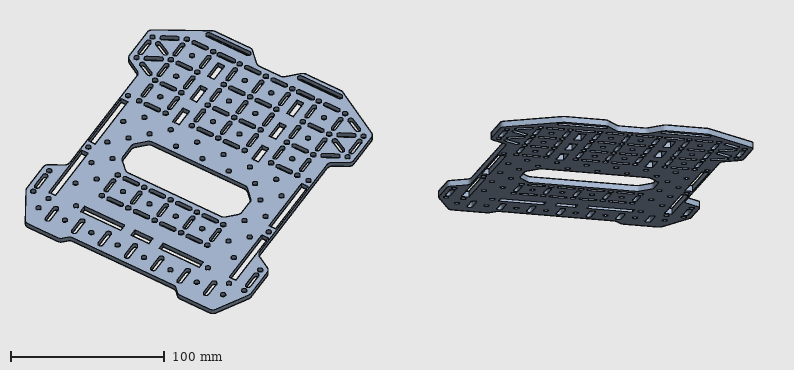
import cadquery as cq
import math

plate_width = 170.0
plate_length = 200.0
plate_thickness = 4.0
half_width = plate_width / 2
half_length = plate_length / 2

pitch = 20.0
columns = [pitch * i for i in range(4)]
between_columns = [x + pitch / 2 for x in columns[:3]]
near_column, middle_column, far_column = between_columns
grid_top_y = 85.0
upper_rows = [grid_top_y - pitch * i for i in range(4)]
lower_rows = [-35.0, -55.0]

border_top_y = 15.0
border_second_y = border_top_y - pitch / 2
border_inner_rows = [border_second_y - pitch / 2 - pitch * i for i in range(3)]
border_outer_rows = [border_second_y - pitch * i for i in range(1, 4)]

hole_diameter = 3.5
node_diameter = 3.5
grid_slot_width = 3.0
grid_slot_length = 12.0
slot_width = 3.5
long_slot_length = 13.5

waist_half_width = 72.0
ear_slope = math.radians(30)
ear_inner_y = 44.5
ear_outer_y = ear_inner_y + (half_width - waist_half_width) * math.tan(ear_slope)
shoulder_y = 79.0
shoulder_top_x = half_width - (half_length - shoulder_y) / math.tan(ear_slope)
top_notch_half_width = 9.5
top_notch_depth = 10.0
foot_slope = math.radians(60)
foot_corner_y = -76.0
foot_bottom_x = half_width - (half_length + foot_corner_y) / math.tan(foot_slope)
bottom_notch_half_width = 39.8
bottom_notch_depth = 5.0
outline_radius = 4.0

window_width = 90.0
window_height = 30.0
window_y = -15.0
window_chamfer = 8.2
window_radius = 4.0

cutout_width = 5.0
cutout_length = 13.0
cutout_rows = [72.0, 50.0, 28.0]
rail_x = 68.5
rail_length = 41.0
rail_rows = [0.0, -50.0]
rail_hole_rows = [25.0, -25.0, -75.0]
bar_y = -71.0
center_bar_length = 13.5
bar_inner_x = 14.5
bar_outer_x = window_width / 2

ear_x = 80.0
ear_slot_rows = [65.0, -65.0]
ear_hole_offset = pitch / 2
slant_x = 70.0
slant_rows = [80.0, 70.0, 60.0, 50.0]
slant_length = 12.5
slant_angle = 28.0
handle_x = 34.8
handle_y = 95.5
handle_length = 33.5
handle_width = 3.5

foot_hole_y = -85.0
foot_slot_y = -84.8
foot_slot_length = 13.5
foot_slot_width = 3.5


def spread(xs, ys):
    """Every combination of the columns and rows, on both sides of the YZ plane."""
    points = [(x, y) for y in ys for x in xs]
    return points + [(-x, y) for x, y in points if x != 0]


def midpoints(rows):
    return [(a + b) / 2 for a, b in zip(rows, rows[1:])]


def through_plate(sketch):
    return sketch.extrude(plate_thickness / 2, both=True)


def holes(points, diameter=hole_diameter):
    return through_plate(cq.Workplane().pushPoints(points).circle(diameter / 2))


def slots(points, length, angle, width=slot_width):
    return through_plate(cq.Workplane().pushPoints(points).slot2D(length, width, angle))


def rectangles(points, size_x, size_y):
    return through_plate(cq.Workplane().pushPoints(points).rect(size_x, size_y))


def plate_blank():
    right_side = [
        (top_notch_half_width, half_length - top_notch_depth),
        (top_notch_half_width + top_notch_depth, half_length),
        (shoulder_top_x, half_length),
        (half_width, shoulder_y),
        (half_width, ear_outer_y),
        (waist_half_width, ear_inner_y),
        (waist_half_width, -ear_inner_y),
        (half_width, -ear_outer_y),
        (half_width, foot_corner_y),
        (foot_bottom_x, -half_length),
        (bottom_notch_half_width + bottom_notch_depth, -half_length),
        (bottom_notch_half_width, bottom_notch_depth - half_length),
    ]
    left_side = [(-x, y) for x, y in reversed(right_side)]
    blank = through_plate(cq.Workplane().polyline(right_side + left_side).close())
    return blank.edges("|Z").fillet(outline_radius)


def central_window():
    window = rectangles([(0, window_y)], window_width, window_height)
    window = window.edges("|Z").chamfer(window_chamfer)
    return [window.edges("|Z").fillet(window_radius)]


def slotted_grid(node_columns, cell_columns, rows):
    """Rows of holes joined by slots, with one more hole in the middle of each cell."""
    cell_rows = midpoints(rows)
    return [
        holes(spread(node_columns, rows), node_diameter),
        holes(spread(cell_columns, cell_rows)),
        slots(spread(cell_columns, rows), grid_slot_length, 0, grid_slot_width),
        slots(spread(node_columns, cell_rows), grid_slot_length, 90, grid_slot_width),
    ]


def upper_grid():
    """Grid above the window; its middle cells hold rectangular cutouts instead of holes."""
    top_slots = spread([middle_column], [grid_top_y])
    cutouts = spread([middle_column], cutout_rows)
    return slotted_grid(columns, [near_column, far_column], upper_rows) + [
        slots(top_slots, long_slot_length, 0),
        rectangles(cutouts, cutout_width, cutout_length),
    ]


def lower_grid():
    return slotted_grid(columns[:3], [near_column, middle_column], lower_rows)


def window_border():
    """Staggered holes above and beside the window."""
    return [
        holes(spread(between_columns, [border_top_y])),
        holes(spread(columns, [border_second_y])),
        holes(spread([far_column], border_inner_rows)),
        holes(spread([columns[-1]], border_outer_rows)),
    ]


def side_rails():
    return [
        rectangles(spread([rail_x], rail_rows), cutout_width, rail_length),
        holes(spread([rail_x], rail_hole_rows)),
    ]


def ears():
    """An upright slot with a hole beyond each end in every ear."""
    hole_rows = [y + side * ear_hole_offset for y in ear_slot_rows for side in (-1, 1)]
    return [
        slots(spread([ear_x], ear_slot_rows), long_slot_length, 90),
        holes(spread([ear_x], hole_rows)),
    ]


def slanted_slots():
    """Zigzag of slots beside each upper ear, mirrored left to right."""
    cutters = []
    for row, y in enumerate(slant_rows):
        angle = slant_angle * (-1) ** row
        cutters.append(slots([(-slant_x, y)], slant_length, angle))
        cutters.append(slots([(slant_x, y)], slant_length, -angle))
    return cutters


def handles():
    return [slots(spread([handle_x], [handle_y]), handle_length, 0, handle_width)]


def bars():
    """Three bars in a row, with a hole beyond each end."""
    side_bar_length = bar_outer_x - bar_inner_x
    side_bar_x = (bar_outer_x + bar_inner_x) / 2
    return [
        rectangles([(0, bar_y)], center_bar_length, cutout_width),
        rectangles(spread([side_bar_x], [bar_y]), side_bar_length, cutout_width),
        holes(spread([far_column], [bar_y])),
    ]


def foot_row():
    """Upright slots on the columns, with holes halfway between them and past the ends."""
    hole_columns = between_columns + [far_column + pitch]
    return [
        holes(spread(hole_columns, [foot_hole_y])),
        slots(spread(columns, [foot_slot_y]), foot_slot_length, 90, foot_slot_width),
    ]


features = [
    central_window,
    upper_grid,
    lower_grid,
    window_border,
    side_rails,
    ears,
    slanted_slots,
    handles,
    bars,
    foot_row,
]

result = plate_blank()
for feature in features:
    for cutter in feature():
        result = result.cut(cutter)